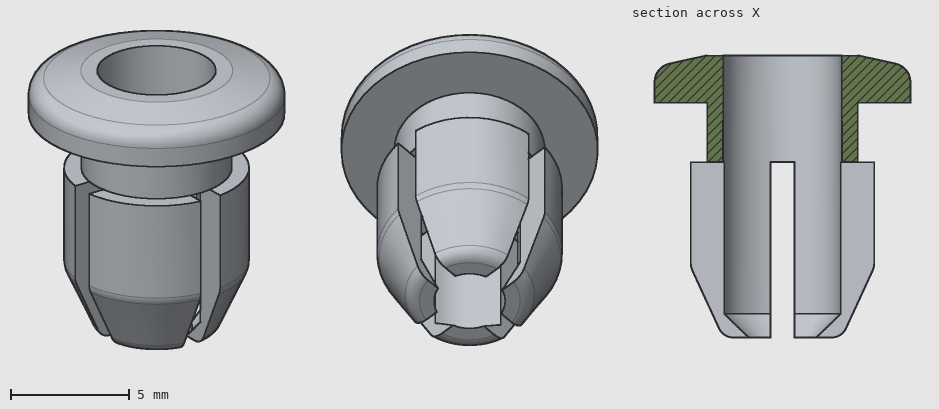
import cadquery as cq
import math

total_height = 11.9
flange_bottom = total_height - 2.0
flange_rim_top = total_height - 1.14
bevel_bottom = total_height - 0.35
shoulder_height = 7.4
cone_angle = 24.5
bore_cone_angle = 45.0

flange_radius = 5.4
bevel_radius = 4.77
top_face_radius = 3.2
neck_radius = 3.18
barrel_radius = 3.9
bore_radius = 2.5
tip_bore_radius = 1.5

cone_top_height = 2.82
cone_top_radius = 3.83
cone_bottom_height = 0.4
barrel_round_height = 3.14
tip_face_radius = 2.12

slot_width = 1.0

cone_slope = math.tan(math.radians(cone_angle))
cone_bottom_radius = cone_top_radius - (cone_top_height - cone_bottom_height) * cone_slope
bore_cone_height = (bore_radius - tip_bore_radius) / math.tan(math.radians(bore_cone_angle))


def revolved_body():
    """Flange, neck, barrel and tapered tip around a bore that narrows at the tip."""
    profile = (
        cq.Workplane("XZ")
        .moveTo(tip_bore_radius, 0)
        .lineTo(tip_face_radius, 0)
        .tangentArcPoint((cone_bottom_radius, cone_bottom_height), relative=False)
        .lineTo(cone_top_radius, cone_top_height)
        .tangentArcPoint((barrel_radius, barrel_round_height), relative=False)
        .lineTo(barrel_radius, shoulder_height)
        .lineTo(neck_radius, shoulder_height)
        .lineTo(neck_radius, flange_bottom)
        .lineTo(flange_radius, flange_bottom)
        .lineTo(flange_radius, flange_rim_top)
        .tangentArcPoint((bevel_radius, bevel_bottom), relative=False)
        .lineTo(top_face_radius, total_height)
        .lineTo(bore_radius, total_height)
        .lineTo(bore_radius, bore_cone_height)
        .close()
    )
    return profile.revolve(360, (0, 0, 0), (0, 1, 0))


def cross_slots():
    """Two crossing slots that split the barrel into four fingers below the shoulder."""
    slot_length = 2 * flange_radius
    slot = cq.Workplane("XY").box(slot_length, slot_width, shoulder_height, centered=(True, True, False))
    return slot.union(slot.rotate((0, 0, 0), (0, 0, 1), 90))


result = revolved_body().cut(cross_slots())